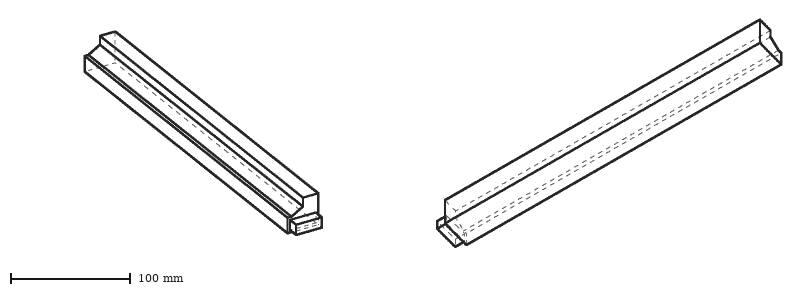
import cadquery as cq
import math

total_length = 340.0
section_size = 30.0
tenon_length = 10.0
body_length = total_length - tenon_length

back_width = section_size / 2
ledge_height = section_size / 2
ledge_width = 3.7
slope_angle = 30.0

tenon_margin = 2.5
tenon_width = section_size - 2 * tenon_margin
tenon_height = 10.0


def make_body():
    """Extrude the stepped profile along X."""
    front = -section_size / 2
    back = section_size / 2
    step = back - back_width
    ledge_edge = front + ledge_width
    slope_rise = (step - ledge_edge) * math.tan(math.radians(slope_angle))
    profile = [
        (front, 0),
        (back, 0),
        (back, section_size),
        (step, section_size),
        (step, ledge_height + slope_rise),
        (ledge_edge, ledge_height),
        (front, ledge_height),
    ]
    return cq.Workplane("YZ").polyline(profile).close().extrude(body_length)


def make_tenon():
    """Block projecting from the end face, inset from the sides and bottom."""
    block = cq.Workplane("XY").box(tenon_length, tenon_width, tenon_height, centered=(False, True, False))
    return block.translate((body_length, 0, tenon_margin))


result = make_body().union(make_tenon())